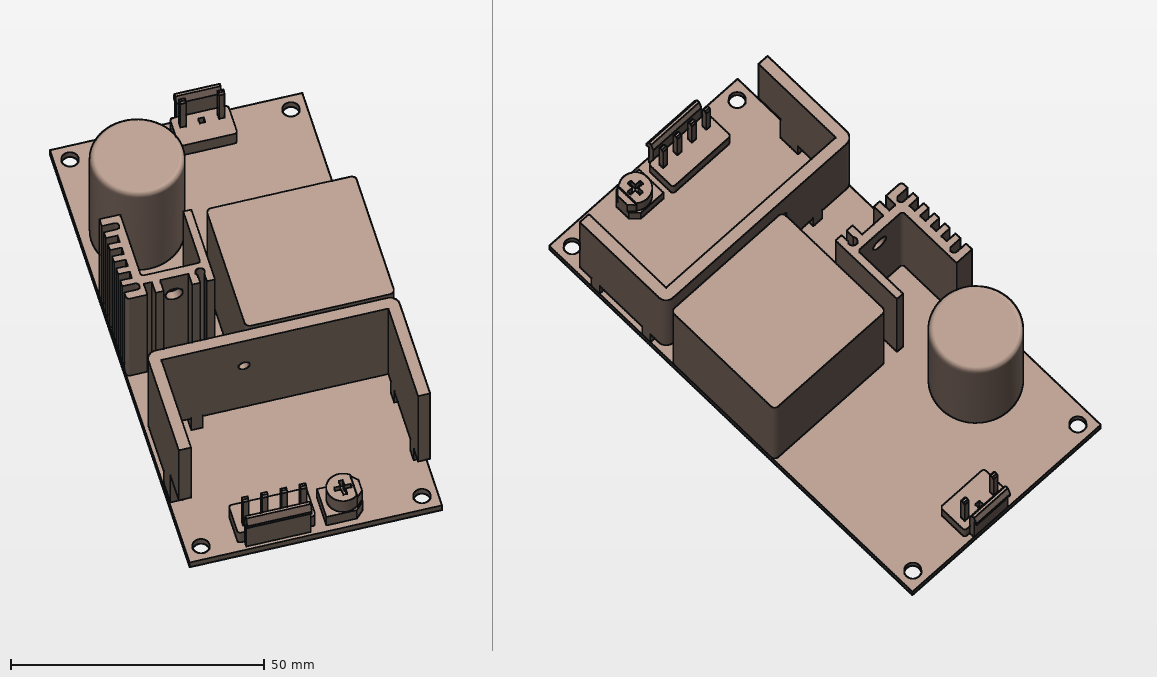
import cadquery as cq


BOARD_LENGTH = 103.4
BOARD_WIDTH = 51.7
BOARD_THICKNESS = 1.7
MOUNT_HOLE_DIAMETER = 3.4
MOUNT_HOLE_INSET = 3.2

TALL_HEIGHT = 26.4

CAP_X = 23.9
CAP_Y = 11.2
CAP_DIAMETER = 18.8
CAP_ROUNDING = 1.0

TRANSFORMER_X = 39.2
TRANSFORMER_LENGTH = 29.5
TRANSFORMER_WIDTH = 30.6
TRANSFORMER_HEIGHT = 25.4
TRANSFORMER_ROUNDING = 1.0

SINK_BACK_Y = 18.1
SINK_END_X = 56.7
SINK_WEB_X = 52.0
SINK_WEB_THICKNESS = 2.0
SINK_BACK_ARM_X = 39.2
SINK_FRONT_ARM_X = 36.6
SINK_FRONT_ARM_WIDTH = 4.3
SINK_FIN_THICKNESS = 1.7
SINK_SIDE_SLOT_WIDTH = 1.7
SINK_KEY_SLOT_WIDTH = 1.4
SINK_KEY_RADIUS = 0.9
SINK_SLOT_COUNT = 6
SINK_SLOT_PITCH = 3.0
SINK_SLOT_WIDTH = 1.6
SINK_SLOT_DEPTH = 2.4
SINK_ROUND_SLOT_DEPTH = 3.3
SINK_LAST_SLOT_X = 54.2
SINK_CORNER_RADIUS = 0.7
SINK_INNER_RADIUS = 0.6
SINK_HOLE_RADIUS = 1.8
SINK_HOLE_Z = 20.6

BRACKET_X = 70.2
BRACKET_END_X = 94.6
BRACKET_FRONT_Y = 0.2
BRACKET_WALL = 2.5
BRACKET_BEND_RADIUS = 2.0
BRACKET_GAP = 4.0
BRACKET_HOLE_RADIUS = 1.1
BRACKET_HOLE_Y = 19.7
BRACKET_HOLE_Z = 18.0
LEG_WIDTH = 2.4
BACK_LEG_Y = 8.8
REAR_LEG_XS = (74.5, 89.0)
FRONT_LEG_X = 83.4
FRONT_LEG_END_X = 88.4
FRONT_CUT_HEIGHT = 9.3
TAB_X = 85.7
TAB_DROP = 0.3

PIN_PITCH = 4.0
PIN_WIDTH = 1.1
PIN_HEIGHT = 11.9
PIN_DROP = 1.4
PIN_TIP_HEIGHT = 0.5
PIN_TIP_TAPER = 0.3
LATCH_OVERHANG = 0.7
LATCH_WALL = 1.2
LATCH_HEIGHT = 9.6
LATCH_LEDGE_Z = 7.3
LATCH_TIP_Z = 7.9
LATCH_EXTRA_WIDTH = 1.4
HOUSING_DEPTH = 7.0
HOUSING_HEIGHT = 3.3
HOUSING_EXTRA_WIDTH = 4.1
HOUSING_ROUNDING = 0.6
PIN_ROW_X = 3.3

LEFT_PLACES = 3
LEFT_PIN_PLACES = (0, 2)
LEFT_Y = 30.2
RIGHT_PLACES = 4
RIGHT_Y = 18.4

TRIMMER_X = 98.5
TRIMMER_Y = 28.4
TRIMMER_WIDTH = 7.0
TRIMMER_LENGTH = 7.9
TRIMMER_CHAMFER = 1.7
TRIMMER_BASE_HEIGHT = 2.9
TRIMMER_TAB_LENGTH = 1.4
TRIMMER_TAB_WIDTH = 5.4
TRIMMER_TAB_HEIGHT = 6.0
KNOB_Y = 32.8
KNOB_RADIUS = 3.3
KNOB_HEIGHT = 6.7
CROSS_LENGTH = 3.4
CROSS_WIDTH = 0.8
CROSS_DEPTH = 2.1


def block(x0, x1, y0, y1, z0, z1):
    """Box between two opposite corners."""
    return cq.Workplane("XY").box(x1 - x0, y1 - y0, z1 - z0, centered=False).translate((x0, y0, z0))


def hole_along_x(x0, length, y, z, radius):
    """Cylinder that starts at x0 and runs towards +X."""
    return cq.Workplane("YZ").center(y, z).circle(radius).extrude(length).translate((x0, 0, 0))


def place_ys(places):
    """Y of every pin place, from -Y to +Y, centred on zero."""
    return [(place - (places - 1) / 2) * PIN_PITCH for place in range(places)]


def square_post(y, bottom_z):
    """Plain square post in a connector's pin row, up to the pins' height."""
    half = PIN_WIDTH / 2
    return block(PIN_ROW_X - half, PIN_ROW_X + half, y - half, y + half, bottom_z, PIN_HEIGHT)


def wedge_tips(pin, ends):
    """Taper the two X sides of a pin at its top (">Z") or bottom ("<Z") end."""
    for end in ends:
        pin = pin.faces(end).edges("|Y").chamfer(PIN_TIP_HEIGHT, PIN_TIP_TAPER)
    return pin


def make_housing(places):
    """Connector base with its latch wall; the wall's outer face is at X = 0."""
    span = (places - 1) * PIN_PITCH
    half_base = (span + HOUSING_EXTRA_WIDTH) / 2
    base = block(LATCH_WALL, LATCH_WALL + HOUSING_DEPTH, -half_base, half_base, 0, HOUSING_HEIGHT)
    base = base.edges("|Z").fillet(HOUSING_ROUNDING)
    latch_width = span + LATCH_EXTRA_WIDTH
    latch = (
        cq.Workplane("XZ")
        .polyline([
            (0, 0),
            (LATCH_WALL, 0),
            (LATCH_WALL, LATCH_TIP_Z),
            (LATCH_WALL / 2, LATCH_HEIGHT),
            (0, LATCH_HEIGHT),
            (-LATCH_OVERHANG, LATCH_TIP_Z),
            (-LATCH_OVERHANG, LATCH_LEDGE_Z),
            (0, LATCH_LEDGE_Z),
        ])
        .close()
        .extrude(latch_width / 2, both=True)
    )
    return base.union(latch)


def make_left_pin(y):
    """Loose pin that goes through the left housing and the board."""
    return wedge_tips(square_post(y, -BOARD_THICKNESS - PIN_DROP), (">Z", "<Z")).translate((0, LEFT_Y, 0))


def make_left_housing():
    """Three-place housing; every place is a square hole."""
    housing = make_housing(LEFT_PLACES)
    for y in place_ys(LEFT_PLACES):
        housing = housing.cut(square_post(y, 0))
    return housing.translate((0, LEFT_Y, 0))


def make_right_connector():
    """Four-place connector in one piece with its pins, turned so its latch is on +X."""
    connector = make_housing(RIGHT_PLACES)
    for y in place_ys(RIGHT_PLACES):
        connector = connector.union(wedge_tips(square_post(y, 0), (">Z",)))
    return connector.rotate((0, 0, 0), (0, 0, 1), 180).translate((BOARD_LENGTH - LATCH_OVERHANG, RIGHT_Y, 0))


def make_capacitor():
    """Upright can, rounded at both ends."""
    return (
        cq.Workplane("XY")
        .center(CAP_X, CAP_Y)
        .circle(CAP_DIAMETER / 2)
        .extrude(TALL_HEIGHT)
        .edges("%CIRCLE")
        .fillet(CAP_ROUNDING)
    )


def make_transformer():
    """Block flush with the board's back edge, with rounded upright edges."""
    body = block(
        TRANSFORMER_X, TRANSFORMER_X + TRANSFORMER_LENGTH,
        BOARD_WIDTH - TRANSFORMER_WIDTH, BOARD_WIDTH,
        0, TRANSFORMER_HEIGHT,
    )
    return body.edges("|Z").fillet(TRANSFORMER_ROUNDING)


def sink_block(x0, x1, y0, y1):
    """Box of the heat sink's full height."""
    return block(x0, x1, y0, y1, 0, TALL_HEIGHT)


def cut_front_slots(sink):
    """Vertical slots in the front arm; the first and the last are deeper with a round end."""
    half = SINK_SLOT_WIDTH / 2
    for index in range(SINK_SLOT_COUNT):
        x = SINK_LAST_SLOT_X - index * SINK_SLOT_PITCH
        if index in (0, SINK_SLOT_COUNT - 1):
            round_y = SINK_ROUND_SLOT_DEPTH - half
            end = cq.Workplane("XY").center(x, round_y).circle(half).extrude(TALL_HEIGHT)
            sink = sink.cut(sink_block(x - half, x + half, 0, round_y)).cut(end)
        else:
            sink = sink.cut(sink_block(x - half, x + half, 0, SINK_SLOT_DEPTH))
    return sink


def make_heat_sink():
    """Extruded profile with fins on the web's +X side and a finned front arm."""
    web_back_x = SINK_WEB_X + SINK_WEB_THICKNESS
    back_arm_y = SINK_BACK_Y - SINK_FIN_THICKNESS
    back_fin_y = back_arm_y - SINK_KEY_SLOT_WIDTH - SINK_FIN_THICKNESS
    front_fin_y = SINK_FRONT_ARM_WIDTH + SINK_SIDE_SLOT_WIDTH
    sink = sink_block(SINK_WEB_X, web_back_x, 0, SINK_BACK_Y)
    sink = sink.union(sink_block(SINK_BACK_ARM_X, SINK_END_X, back_arm_y, SINK_BACK_Y))
    front_arm = sink_block(SINK_FRONT_ARM_X, SINK_END_X, 0, SINK_FRONT_ARM_WIDTH)
    sink = sink.union(front_arm.edges("|Z and >X and <Y").fillet(SINK_CORNER_RADIUS))
    for corner_y in (SINK_FRONT_ARM_WIDTH, back_arm_y):
        inner_corner = cq.selectors.NearestToPointSelector((SINK_WEB_X, corner_y, TALL_HEIGHT / 2))
        sink = sink.edges(inner_corner).fillet(SINK_INNER_RADIUS)
    for fin_y in (back_fin_y, front_fin_y):
        sink = sink.union(sink_block(SINK_WEB_X, SINK_END_X, fin_y, fin_y + SINK_FIN_THICKNESS))
    key_y = back_arm_y - SINK_KEY_SLOT_WIDTH / 2
    key = cq.Workplane("XY").center(SINK_LAST_SLOT_X, key_y).circle(SINK_KEY_RADIUS).extrude(TALL_HEIGHT)
    sink = cut_front_slots(sink.cut(key))
    hole_y = (back_fin_y + front_fin_y + SINK_FIN_THICKNESS) / 2
    return sink.cut(hole_along_x(SINK_WEB_X, SINK_WEB_THICKNESS, hole_y, SINK_HOLE_Z, SINK_HOLE_RADIUS))


def make_bracket_tab():
    """Lower end of the bracket's front leg, in a slot of the board."""
    tab_back_y = BRACKET_FRONT_Y + BRACKET_WALL
    return block(TAB_X, FRONT_LEG_END_X, BRACKET_FRONT_Y, tab_back_y, -BOARD_THICKNESS - TAB_DROP, 0)


def make_bracket():
    """U of sheet metal raised on legs; the front leg has a tab that goes through the board."""
    inner_x = BRACKET_X + BRACKET_WALL
    front_inner_y = BRACKET_FRONT_Y + BRACKET_WALL
    rear_inner_y = BOARD_WIDTH - BRACKET_WALL
    bracket = block(BRACKET_X, BRACKET_END_X, BRACKET_FRONT_Y, BOARD_WIDTH, BRACKET_GAP, TALL_HEIGHT)
    bracket = bracket.edges("|Z and <X").fillet(BRACKET_BEND_RADIUS)
    bracket = bracket.cut(block(inner_x, BRACKET_END_X, front_inner_y, rear_inner_y, 0, TALL_HEIGHT))
    bracket = bracket.cut(
        block(FRONT_LEG_END_X, BRACKET_END_X, BRACKET_FRONT_Y, front_inner_y, 0, FRONT_CUT_HEIGHT)
    )
    bracket = bracket.cut(
        hole_along_x(BRACKET_X, BRACKET_WALL, BRACKET_HOLE_Y, BRACKET_HOLE_Z, BRACKET_HOLE_RADIUS)
    )
    bracket = bracket.union(block(BRACKET_X, inner_x, BACK_LEG_Y, BACK_LEG_Y + LEG_WIDTH, 0, BRACKET_GAP))
    for leg_x in REAR_LEG_XS:
        bracket = bracket.union(block(leg_x, leg_x + LEG_WIDTH, rear_inner_y, BOARD_WIDTH, 0, BRACKET_GAP))
    bracket = bracket.union(
        block(FRONT_LEG_X, FRONT_LEG_END_X, BRACKET_FRONT_Y, front_inner_y, 0, BRACKET_GAP)
    )
    return bracket.union(make_bracket_tab())


def make_trimmer():
    """Chamfered base, knob with a flat at the back and a lower tab against that flat."""
    half = TRIMMER_WIDTH / 2
    back_y = TRIMMER_Y + TRIMMER_LENGTH
    flat_y = back_y - TRIMMER_TAB_LENGTH
    half_tab = TRIMMER_TAB_WIDTH / 2
    base = block(TRIMMER_X - half, TRIMMER_X + half, TRIMMER_Y, back_y, 0, TRIMMER_BASE_HEIGHT)
    base = base.edges("|Z and >Y").chamfer(TRIMMER_CHAMFER)
    tab = (
        cq.Workplane("XY")
        .polyline([
            (TRIMMER_X - half_tab, flat_y),
            (TRIMMER_X + half_tab, flat_y),
            (TRIMMER_X + half_tab - TRIMMER_TAB_LENGTH, back_y),
            (TRIMMER_X - half_tab + TRIMMER_TAB_LENGTH, back_y),
        ])
        .close()
        .extrude(TRIMMER_TAB_HEIGHT)
    )
    knob = cq.Workplane("XY").center(TRIMMER_X, KNOB_Y).circle(KNOB_RADIUS).extrude(KNOB_HEIGHT)
    knob = knob.cut(block(TRIMMER_X - half, TRIMMER_X + half, flat_y, back_y, 0, KNOB_HEIGHT))
    cross = (
        cq.Workplane("XY", origin=(TRIMMER_X, KNOB_Y, KNOB_HEIGHT - CROSS_DEPTH))
        .rect(CROSS_LENGTH, CROSS_WIDTH)
        .extrude(CROSS_DEPTH)
    )
    cross = cross.union(cross.rotate((TRIMMER_X, KNOB_Y, 0), (TRIMMER_X, KNOB_Y, 1), 90))
    return base.union(tab).union(knob).cut(cross)


def make_board(loose_pins):
    """Board with mounting holes, a hole for each loose pin and a slot for the bracket tab."""
    board = block(0, BOARD_LENGTH, 0, BOARD_WIDTH, -BOARD_THICKNESS, 0)
    for x in (MOUNT_HOLE_INSET, BOARD_LENGTH - MOUNT_HOLE_INSET):
        for y in (MOUNT_HOLE_INSET, BOARD_WIDTH - MOUNT_HOLE_INSET):
            hole = cq.Workplane("XY").center(x, y).circle(MOUNT_HOLE_DIAMETER / 2).extrude(-BOARD_THICKNESS)
            board = board.cut(hole)
    for pin in loose_pins:
        board = board.cut(pin)
    return board.cut(make_bracket_tab())


left_place_ys = place_ys(LEFT_PLACES)
left_pins = [make_left_pin(left_place_ys[place]) for place in LEFT_PIN_PLACES]
board = make_board(left_pins)
left_housing = make_left_housing()
right_connector = make_right_connector()
capacitor = make_capacitor()
transformer = make_transformer()
heat_sink = make_heat_sink()
bracket = make_bracket()
trimmer = make_trimmer()

result = cq.Compound.makeCompound([
    board.val(),
    left_housing.val(),
    *[pin.val() for pin in left_pins],
    right_connector.val(),
    capacitor.val(),
    transformer.val(),
    heat_sink.val(),
    bracket.val(),
    trimmer.val(),
])